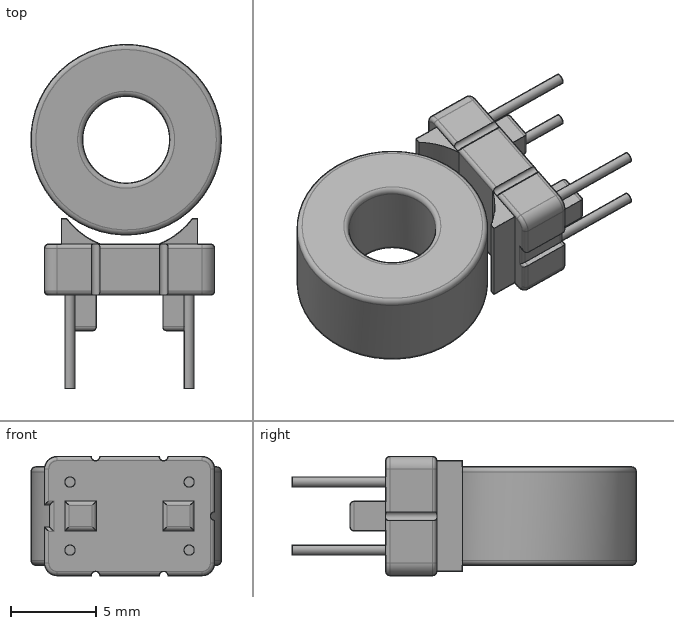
import cadquery as cq
import math

CORE_RADIUS = 5.6
CORE_HOLE_RADIUS = 2.55
CORE_HEIGHT = 5.8
CORE_EDGE_RADIUS = 0.3

BASE_LENGTH = 10.0
BASE_HEIGHT = 7.01
BASE_THICKNESS = 3.0
BASE_CORNER_RADIUS = 0.75
BASE_EDGE_RADIUS = 0.25
BASE_CENTER_X = 0.2
CORE_TO_BASE_GAP = 0.53

BASE_BACK_Y = -CORE_RADIUS - CORE_TO_BASE_GAP
BASE_FRONT_Y = BASE_BACK_Y - BASE_THICKNESS

NOTCH_DEPTH = 0.3
NOTCH_WIDTH = 1.3

GROOVE_RADIUS = 0.25
GROOVE_SPACING = 4.0

CRADLE_LENGTH = 8.0
CRADLE_HEIGHT = BASE_HEIGHT - 2 * BASE_EDGE_RADIUS
CRADLE_DEPTH = 1.5
CRADLE_ARC_RADIUS = 4.65
CRADLE_TIP_WIDTH = 0.3

PIN_DIAMETER = 0.6
PIN_LENGTH = 5.5
PIN_SPACING_X = 7.0
PIN_SPACING_Z = 4.0

FOOT_LENGTH = 1.85
FOOT_WIDTH = 1.75
FOOT_DEPTH = 2.1
FOOT_EDGE_RADIUS = 0.25
FOOT_OFFSET_X = (PIN_SPACING_X + PIN_DIAMETER - FOOT_LENGTH) / 2


def plane_facing_front(y):
    """XZ plane at the given Y, centred on the base, with its normal toward -Y."""
    return cq.Workplane("XZ", origin=(BASE_CENTER_X, y, 0))


def make_core():
    ring = (
        cq.Workplane("XY", origin=(0, 0, -CORE_HEIGHT / 2))
        .circle(CORE_RADIUS)
        .circle(CORE_HOLE_RADIUS)
        .extrude(CORE_HEIGHT)
    )
    return ring.faces("|Z").edges().fillet(CORE_EDGE_RADIUS)


def make_base_block():
    block = plane_facing_front(BASE_BACK_Y).rect(BASE_LENGTH, BASE_HEIGHT).extrude(BASE_THICKNESS)
    block = block.edges("|Y").fillet(BASE_CORNER_RADIUS)
    notch = (
        plane_facing_front(BASE_BACK_Y)
        .center(-BASE_LENGTH / 2, 0)
        .rect(2 * NOTCH_DEPTH, NOTCH_WIDTH)
        .extrude(BASE_THICKNESS)
    )
    block = block.cut(notch).faces("|Y").edges().fillet(BASE_EDGE_RADIUS)

    groove_centers = [(BASE_LENGTH / 2, 0)]
    for x in (-GROOVE_SPACING / 2, GROOVE_SPACING / 2):
        for z in (-BASE_HEIGHT / 2, BASE_HEIGHT / 2):
            groove_centers.append((x, z))
    grooves = (
        plane_facing_front(BASE_BACK_Y)
        .pushPoints(groove_centers)
        .circle(GROOVE_RADIUS)
        .extrude(BASE_THICKNESS)
    )
    return block.cut(grooves)


def make_cradle():
    horns = (
        plane_facing_front(BASE_BACK_Y)
        .rect(CRADLE_LENGTH, CRADLE_HEIGHT)
        .extrude(-CRADLE_DEPTH)
    )
    tip_half_opening = CRADLE_LENGTH / 2 - CRADLE_TIP_WIDTH
    arc_center_y = BASE_BACK_Y + CRADLE_DEPTH + math.sqrt(CRADLE_ARC_RADIUS**2 - tip_half_opening**2)
    hollow = (
        cq.Workplane("XY", origin=(BASE_CENTER_X, arc_center_y, -CRADLE_HEIGHT / 2))
        .circle(CRADLE_ARC_RADIUS)
        .extrude(CRADLE_HEIGHT)
    )
    return horns.cut(hollow)


def make_pins():
    return (
        plane_facing_front(BASE_FRONT_Y)
        .rarray(PIN_SPACING_X, PIN_SPACING_Z, 2, 2)
        .circle(PIN_DIAMETER / 2)
        .extrude(PIN_LENGTH)
    )


def make_foot(offset_x):
    foot = (
        plane_facing_front(BASE_FRONT_Y)
        .center(offset_x, 0)
        .rect(FOOT_LENGTH, FOOT_WIDTH)
        .extrude(FOOT_DEPTH)
    )
    return foot.faces("<Y").edges().fillet(FOOT_EDGE_RADIUS)


def make_base():
    base = make_base_block().union(make_cradle()).union(make_pins())
    for offset_x in (-FOOT_OFFSET_X, FOOT_OFFSET_X):
        base = base.union(make_foot(offset_x))
    return base


core = make_core()
base = make_base()
result = cq.Compound.makeCompound([core.val(), *base.vals()])